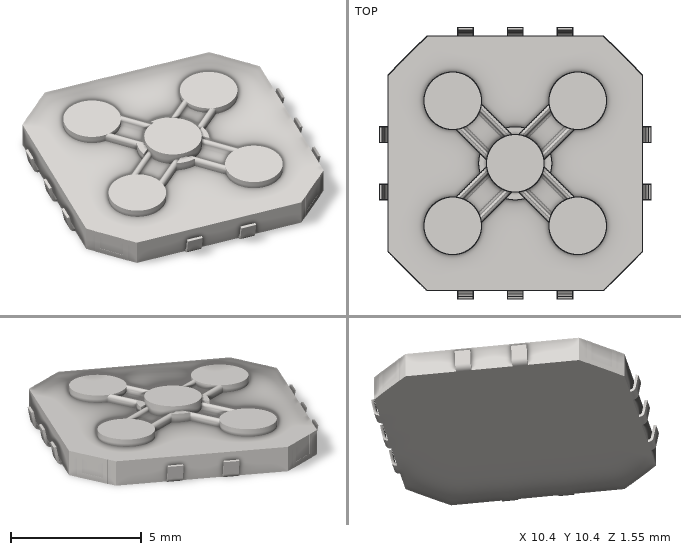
import cadquery as cq
import math

OVERALL_WIDTH = 10.4
OVERALL_HEIGHT = 1.55

BODY_WIDTH = 9.75
BODY_TOP = 1.0
CORNER_CUT = 1.5

CLIP_WIDTH = 1.37
CLIP_WINDOW_WIDTH = 0.96
CLIP_WINDOW_BOTTOM = 0.21
CLIP_PROUD = 0.01
CLIP_OVERLAP = 0.1

PAD_DIAMETER = 2.2
PAD_OFFSET = 2.39
OUTER_PAD_TOP = 1.3
RING_DIAMETER = 2.8
RING_TOP = 1.35

CHANNEL_WIDTH = 1.37
RAIL_TOP = OUTER_PAD_TOP
RAIL_OUTER_RADIUS = 0.12
RAIL_INNER_RADIUS = 0.11
FLOOR_FILLET = 0.1

LEAD_WIDTH = 0.6
LEAD_THICKNESS = 0.1
LEAD_TOP = 0.74
LEAD_TILT = math.radians(11)
LEAD_BEND_RADIUS = 0.22
LEAD_OVERLAP = 0.1
LEAD_PITCH_Y_SIDES = 1.9
LEAD_PITCH_X_SIDES = 2.19

DIAGONAL_ANGLES = (45, 135, 225, 315)


def make_body():
    block = cq.Workplane("XY").box(BODY_WIDTH, BODY_WIDTH, BODY_TOP, centered=(True, True, False))
    return block.edges("|Z").chamfer(CORNER_CUT)


def make_disc(diameter, top, x=0.0, y=0.0):
    """Round pad that stands on the body."""
    return cq.Workplane("XY", origin=(x, y, BODY_TOP)).circle(diameter / 2).extrude(top - BODY_TOP)


def make_clip(angle):
    """U-shaped frame on one cut corner, open at the top."""
    corner_face = (BODY_WIDTH - CORNER_CUT) / math.sqrt(2)
    depth = CLIP_OVERLAP + CLIP_PROUD
    start = corner_face - CLIP_OVERLAP
    centered = (False, True, False)
    plate = cq.Workplane("XY", origin=(start, 0, 0)).box(depth, CLIP_WIDTH, BODY_TOP, centered=centered)
    window = cq.Workplane("XY", origin=(start, 0, CLIP_WINDOW_BOTTOM)).box(
        depth, CLIP_WINDOW_WIDTH, BODY_TOP, centered=centered
    )
    return plate.cut(window).rotate((0, 0, 0), (0, 0, 1), angle)


def make_channel(angle):
    """Flat floor between two round-topped rails, from the centre to one outer pad."""
    length = PAD_OFFSET * math.sqrt(2)
    outer = CHANNEL_WIDTH / 2
    crest = outer - RAIL_OUTER_RADIUS
    inner = crest - RAIL_INNER_RADIUS
    floor_edge = inner - FLOOR_FILLET
    inner_spring = RAIL_TOP - RAIL_INNER_RADIUS
    floor = inner_spring - FLOOR_FILLET
    half = (
        cq.Workplane("YZ")
        .moveTo(0, BODY_TOP)
        .lineTo(outer, BODY_TOP)
        .lineTo(outer, RAIL_TOP - RAIL_OUTER_RADIUS)
        .tangentArcPoint((crest, RAIL_TOP), relative=False)
        .tangentArcPoint((inner, inner_spring), relative=False)
        .tangentArcPoint((floor_edge, floor), relative=False)
        .lineTo(0, floor)
        .close()
        .extrude(length)
    )
    return half.union(half.mirror("XZ")).rotate((0, 0, 0), (0, 0, 1), angle)


def make_channel_clearance(angle):
    """Block that opens the ring where a channel passes."""
    return (
        cq.Workplane("XY", origin=(0, 0, BODY_TOP))
        .box(RING_DIAMETER, CHANNEL_WIDTH, OVERALL_HEIGHT, centered=(False, True, False))
        .rotate((0, 0, 0), (0, 0, 1), angle)
    )


def make_lead(side_angle, shift):
    """Lead that leaves the bottom of one side and bends upward, leaning outward."""
    sin_tilt = math.sin(LEAD_TILT)
    cos_tilt = math.cos(LEAD_TILT)
    tip_x = OVERALL_WIDTH / 2
    tip_z = LEAD_TOP - LEAD_THICKNESS * sin_tilt
    bend_end_z = LEAD_BEND_RADIUS * (1 - sin_tilt)
    bend_end_x = tip_x - (tip_z - bend_end_z) * math.tan(LEAD_TILT)
    bend_x = bend_end_x - LEAD_BEND_RADIUS * cos_tilt
    inner_radius = LEAD_BEND_RADIUS - LEAD_THICKNESS
    root_x = BODY_WIDTH / 2 - LEAD_OVERLAP
    return (
        cq.Workplane("XZ", origin=(0, shift + LEAD_WIDTH / 2, 0))
        .moveTo(root_x, 0)
        .lineTo(bend_x, 0)
        .tangentArcPoint((bend_end_x, bend_end_z), relative=False)
        .lineTo(tip_x, tip_z)
        .lineTo(tip_x - LEAD_THICKNESS * cos_tilt, LEAD_TOP)
        .lineTo(bend_x + inner_radius * cos_tilt, LEAD_BEND_RADIUS - inner_radius * sin_tilt)
        .tangentArcPoint((bend_x, LEAD_THICKNESS), relative=False)
        .lineTo(root_x, LEAD_THICKNESS)
        .close()
        .extrude(LEAD_WIDTH)
        .rotate((0, 0, 0), (0, 0, 1), side_angle)
    )


ring = make_disc(RING_DIAMETER, RING_TOP)
for angle in DIAGONAL_ANGLES:
    ring = ring.cut(make_channel_clearance(angle))

result = make_body().union(ring)

for angle in DIAGONAL_ANGLES:
    result = result.union(make_clip(angle)).union(make_channel(angle))

for x in (-PAD_OFFSET, PAD_OFFSET):
    for y in (-PAD_OFFSET, PAD_OFFSET):
        result = result.union(make_disc(PAD_DIAMETER, OUTER_PAD_TOP, x, y))
result = result.union(make_disc(PAD_DIAMETER, OVERALL_HEIGHT))

for side_angle in (0, 180):
    for shift in (-LEAD_PITCH_X_SIDES / 2, LEAD_PITCH_X_SIDES / 2):
        result = result.union(make_lead(side_angle, shift))
for side_angle in (90, 270):
    for shift in (-LEAD_PITCH_Y_SIDES, 0, LEAD_PITCH_Y_SIDES):
        result = result.union(make_lead(side_angle, shift))